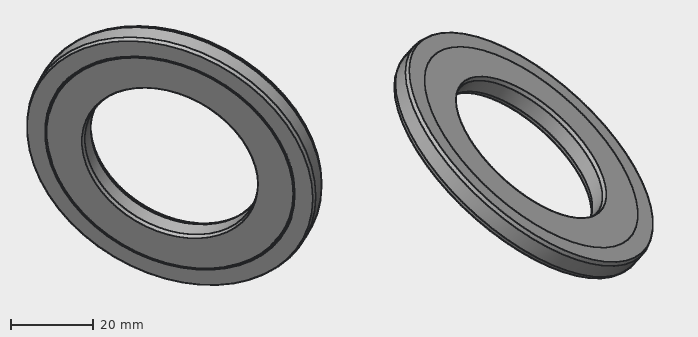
import cadquery as cq

outer_radius = 37.5
bore_radius = 22.5
width = 6.1

chamfer_length = 1.05
chamfer_depth = 0.4

seam_radius = 32.5
groove_width = 0.45
groove_depth = 1.0

front = -width / 2
back = width / 2


def revolve_section(points):
    """Turn a closed (radius, axial position) section about the Y axis."""
    return cq.Workplane("XY").polyline(points).close().revolve(360, (0, 0, 0), (0, 1, 0))


def make_inner_ring():
    """Ring with a chamfered bore and a front step that forms the groove."""
    chamfer_radius = bore_radius + chamfer_depth
    step_radius = seam_radius - groove_width
    groove_floor = front + groove_depth
    return revolve_section([
        (chamfer_radius, front),
        (step_radius, front),
        (step_radius, groove_floor),
        (seam_radius, groove_floor),
        (seam_radius, back),
        (chamfer_radius, back),
        (bore_radius, back - chamfer_length),
        (bore_radius, front + chamfer_length),
    ])


def make_outer_ring():
    """Ring with a chamfered rim that fits around the inner ring."""
    chamfer_radius = outer_radius - chamfer_depth
    return revolve_section([
        (seam_radius, front),
        (chamfer_radius, front),
        (outer_radius, front + chamfer_length),
        (outer_radius, back - chamfer_length),
        (chamfer_radius, back),
        (seam_radius, back),
    ])


inner_ring = make_inner_ring()
outer_ring = make_outer_ring()

result = cq.Compound.makeCompound([inner_ring.val(), outer_ring.val()])